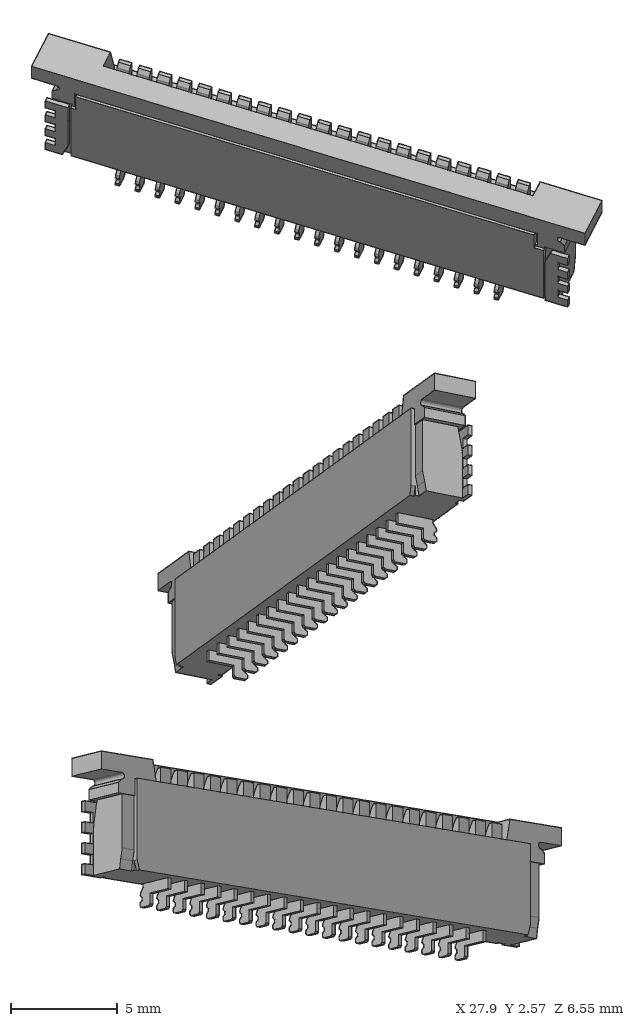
import cadquery as cq


CONTACT_COUNT = 20
PITCH = 1.0
CONTACT_WIDTH = 0.2
FIRST_CONTACT_X = -(CONTACT_COUNT - 1) * PITCH / 2
FOOT_BACK = 1.85
FOOT_UNDERSIDE = 0.6
LEG_BACK = 0.5
LEG_FRONT = -0.22
LEG_CHAMFER = 0.08
HOOK_Y = -0.08
HOOK_BOTTOM = 0.34
HOOK_TOP = 0.47
TOE_TOP = 0.22
SHOULDER = (-0.17, 0.73)
SHOULDER_TOP = 0.95

HOUSING_BOTTOM = 1.12
HOUSING_TOP = 4.7
BLOCK_HALF = 12.65
BLOCK_BACK = 2.12
COVER_HALF = 11.92
COVER_TOP = 5.5
COVER_UPPER_LEFT = -11.67
COVER_UPPER_RIGHT = 11.45
COVER_FRONT = -0.15
WALL_BACK = 2.35
WALL_CHAMFER_HEIGHT = 0.47
WALL_CHAMFER_WIDTH = 0.15
BLOCK_TAPER_TOP = 2.1
BLOCK_TAPER_MIDDLE = 1.6
BLOCK_TAPER_Y = 2.0
BLOCK_FOOT_Y = 1.93
BLOCK_LEAN_BOTTOM = 3.43
BLOCK_LEAN_Y = 0.25

BAR_HALF = 13.95
BAR_TOP = 6.55
BAR_BOTTOM = 5.7
BAR_BACK = 2.18
ARM_HALF = 12.93
ARM_SHOULDER = 5.2
NECK_X = 12.7
NECK_DEPTH = 0.15
NECK_BOTTOM = 5.4
GAP = 0.1
GAP_DEPTH = 0.15

SLOT_FRONT = 1.25
SLOT_HALF_TOP = 10.83
SLOT_HALF_FLOOR = 10.58
SLOT_FLOOR = 5.3

TOOTH_WIDTH = 0.61
TEETH_HALF = CONTACT_COUNT * PITCH / 2 + TOOTH_WIDTH / 2
TOOTH_TOP = 6.25
TOOTH_CREST_FRONT = 1.98
TOOTH_KNEE = (1.81, 6.03)
TOOTH_TOE = (1.6, 5.53)
NOTCH_WIDTH = 0.34
NOTCH_DEPTH = 1.12
END_STEP_HEIGHT = 0.1
END_STEP_BACK = 1.75

TAB_HALF = 13.18
TAB_NOTCH_X = 12.68
TAB_INNER = COVER_HALF + GAP
TAB_FRONT = LEG_FRONT
TAB_STEP = 0.5
TAB_FINGERS = 4
TAB_TOP = HOUSING_BOTTOM + (2 * TAB_FINGERS - 1) * TAB_STEP
TAB_CHAMFER_WIDTH = 0.28
TAB_CHAMFER_HEIGHT = 0.7


def box(x0, x1, y0, y1, z0, z1):
    """Axis-aligned box between two opposite corners."""
    return cq.Workplane("XY").box(x1 - x0, y1 - y0, z1 - z0, centered=False).translate((x0, y0, z0))


def along_x(points, x0, x1):
    """Solid with a (y, z) outline, running from x0 to x1."""
    return cq.Workplane("YZ").polyline(points).close().extrude(x1 - x0).translate((x0, 0, 0))


def mirrored(solid):
    """The solid together with its mirror image at the other end."""
    return solid.union(solid.mirror("YZ"))


def housing():
    core = box(-COVER_HALF, COVER_HALF, 0, BLOCK_BACK, HOUSING_BOTTOM, HOUSING_TOP)
    blocks = along_x(
        [
            (0, HOUSING_BOTTOM),
            (BLOCK_FOOT_Y, HOUSING_BOTTOM),
            (BLOCK_TAPER_Y, BLOCK_TAPER_MIDDLE),
            (BLOCK_BACK, BLOCK_TAPER_TOP),
            (BLOCK_BACK, HOUSING_TOP),
            (BLOCK_LEAN_Y, HOUSING_TOP),
            (0, BLOCK_LEAN_BOTTOM),
        ],
        -BLOCK_HALF,
        BLOCK_HALF,
    )
    chamfer_top = HOUSING_BOTTOM + WALL_CHAMFER_HEIGHT
    foot_half = COVER_HALF - WALL_CHAMFER_WIDTH
    wall = (
        cq.Workplane("XZ", origin=(0, WALL_BACK, 0))
        .polyline([
            (-foot_half, HOUSING_BOTTOM),
            (foot_half, HOUSING_BOTTOM),
            (COVER_HALF, chamfer_top),
            (COVER_HALF, COVER_TOP),
            (-COVER_HALF, COVER_TOP),
            (-COVER_HALF, chamfer_top),
        ])
        .close()
        .extrude(WALL_BACK - BLOCK_FOOT_Y)
    )
    plate = box(-COVER_HALF, COVER_HALF, COVER_FRONT, 0, HOUSING_BOTTOM, HOUSING_TOP - GAP)
    upper = box(COVER_UPPER_LEFT, COVER_UPPER_RIGHT, COVER_FRONT, 0, HOUSING_BOTTOM, COVER_TOP)
    return core.union(blocks).union(wall).union(plate).union(upper)


def lock_bar():
    bar = box(-BAR_HALF, BAR_HALF, 0, BAR_BACK, BAR_BOTTOM, BAR_TOP)
    neck_middle = (BAR_BOTTOM + NECK_BOTTOM) / 2
    arms = (
        cq.Workplane("XZ", origin=(0, BAR_BACK, 0))
        .moveTo(0, HOUSING_TOP)
        .lineTo(-ARM_HALF, HOUSING_TOP)
        .lineTo(-ARM_HALF, ARM_SHOULDER)
        .lineTo(-NECK_X, NECK_BOTTOM)
        .threePointArc((-NECK_X + NECK_DEPTH, neck_middle), (-NECK_X, BAR_BOTTOM))
        .lineTo(0, BAR_BOTTOM)
        .close()
        .extrude(BAR_BACK)
    )
    left, right = COVER_UPPER_LEFT, COVER_UPPER_RIGHT
    left_gap = box(left - GAP, left, 0, GAP_DEPTH, HOUSING_TOP, COVER_TOP)
    right_gap = box(right, right + GAP, 0, GAP_DEPTH, HOUSING_TOP, COVER_TOP)
    return bar.union(mirrored(arms)).cut(left_gap).cut(right_gap)


def slot():
    """Space behind the bar's front rail, with ends that lean in towards the floor."""
    return (
        cq.Workplane("XZ", origin=(0, BAR_BACK, 0))
        .polyline([
            (-SLOT_HALF_FLOOR, SLOT_FLOOR),
            (SLOT_HALF_FLOOR, SLOT_FLOOR),
            (SLOT_HALF_TOP, BAR_TOP),
            (-SLOT_HALF_TOP, BAR_TOP),
        ])
        .close()
        .extrude(BAR_BACK - SLOT_FRONT)
    )


def guide_teeth():
    profile = [
        (BAR_BACK, SLOT_FLOOR),
        (BAR_BACK, TOOTH_TOP),
        (TOOTH_CREST_FRONT, TOOTH_TOP),
        TOOTH_KNEE,
        TOOTH_TOE,
        (TOOTH_TOE[0], SLOT_FLOOR),
    ]
    tooth = along_x(profile, -TOOTH_WIDTH / 2, TOOTH_WIDTH / 2)
    return [
        tooth.translate((FIRST_CONTACT_X + (i - 0.5) * PITCH, 0, 0))
        for i in range(CONTACT_COUNT + 1)
    ]


def solder_tab():
    tab = box(-TAB_HALF, -TAB_INNER, TAB_FRONT, 0, HOUSING_BOTTOM, TAB_TOP)
    for i in range(TAB_FINGERS - 1):
        z = HOUSING_BOTTOM + (2 * i + 1) * TAB_STEP
        tab = tab.cut(box(-TAB_HALF, -TAB_NOTCH_X, TAB_FRONT, 0, z, z + TAB_STEP))
    corner = (
        cq.Workplane("XZ")
        .polyline([
            (-TAB_INNER, HOUSING_BOTTOM),
            (-TAB_INNER - TAB_CHAMFER_WIDTH, HOUSING_BOTTOM),
            (-TAB_INNER, HOUSING_BOTTOM + TAB_CHAMFER_HEIGHT),
        ])
        .close()
        .extrude(-TAB_FRONT)
    )
    return tab.cut(corner)


def contact_foot():
    """Solder foot of one contact: a bar under the housing with a hooked leg at the front."""
    profile = [
        (0, HOUSING_BOTTOM),
        (FOOT_BACK, HOUSING_BOTTOM),
        (FOOT_BACK, FOOT_UNDERSIDE),
        (LEG_BACK, FOOT_UNDERSIDE),
        (LEG_BACK, LEG_CHAMFER),
        (LEG_BACK - LEG_CHAMFER, 0),
        (LEG_FRONT + LEG_CHAMFER, 0),
        (LEG_FRONT, LEG_CHAMFER),
        (LEG_FRONT, TOE_TOP),
        (HOOK_Y, HOOK_BOTTOM),
        (HOOK_Y, HOOK_TOP),
        (LEG_FRONT, FOOT_UNDERSIDE),
        SHOULDER,
        (0, SHOULDER_TOP),
    ]
    return along_x(profile, -CONTACT_WIDTH / 2, CONTACT_WIDTH / 2)


def contact_seat():
    """Flat ledge between the teeth, level with the back wall."""
    middle = box(-TEETH_HALF, TEETH_HALF, TOOTH_TOE[0], BAR_BACK, SLOT_FLOOR, COVER_TOP)
    ends = box(-SLOT_HALF_TOP, SLOT_HALF_TOP, END_STEP_BACK, BAR_BACK, SLOT_FLOOR, COVER_TOP)
    return middle.union(ends)


def end_step():
    """Low step on the slot floor beside the first tooth."""
    step_top = SLOT_FLOOR + END_STEP_HEIGHT
    return box(-SLOT_HALF_TOP, -TEETH_HALF, SLOT_FRONT, END_STEP_BACK, SLOT_FLOOR, step_top)


def contact_notch():
    """Sloped notch in the slot floor in front of one contact."""
    profile = [
        (SLOT_FRONT, SLOT_FLOOR),
        (TOOTH_TOE[0], SLOT_FLOOR),
        (SLOT_FRONT, SLOT_FLOOR - NOTCH_DEPTH),
    ]
    return along_x(profile, -NOTCH_WIDTH / 2, NOTCH_WIDTH / 2)


body = housing().union(lock_bar()).cut(slot()).union(contact_seat()).union(mirrored(end_step()))

left_tab = solder_tab()
tab_centre = (0, 0, (HOUSING_BOTTOM + TAB_TOP) / 2)
right_tab = left_tab.rotate(tab_centre, (0, 1, tab_centre[2]), 180)
body = body.union(left_tab).union(right_tab)

added = guide_teeth()
notches = []
for i in range(CONTACT_COUNT):
    place = (FIRST_CONTACT_X + i * PITCH, 0, 0)
    added.append(contact_foot().translate(place))
    notches.append(contact_notch().translate(place))

joined = body.val().fuse(*[part.val() for part in added])
result = cq.Workplane("XY").newObject([joined.cut(*[part.val() for part in notches])])